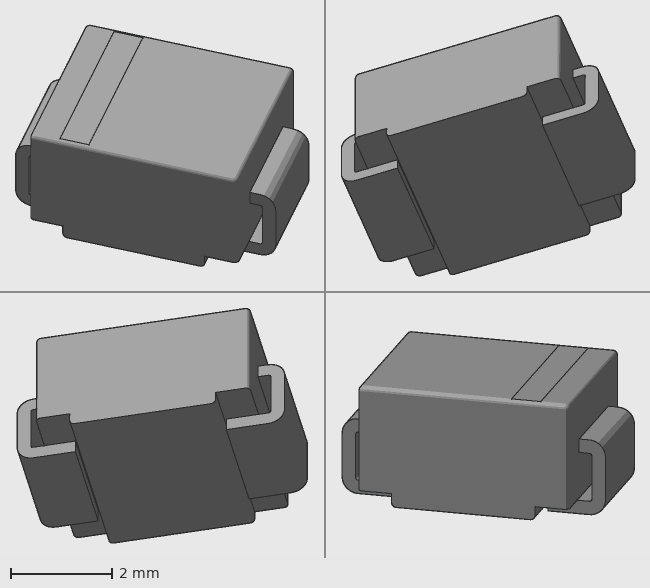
import cadquery as cq


overall_length = 5.41
overall_height = 2.5

housing_length = 4.33
housing_width = 3.62
edge_radius = 0.1
standoff = 0.05

lead_width = 2.1
lead_thickness = 0.28
lead_height = 1.56
lead_inner_radius = 0.05
lead_outer_radius = lead_inner_radius + lead_thickness
foot_length = 1.18
lead_clearance = 0.05

band_length = 0.6
band_offset = 0.6
band_depth = 0.05

lead_outer_x = -overall_length / 2
lead_inner_x = lead_outer_x + lead_thickness
housing_left_x = -housing_length / 2
foot_end_x = lead_outer_x + foot_length
housing_underside = lead_thickness + lead_clearance
plinth_length = -2 * (foot_end_x + lead_clearance)
band_width = housing_width - 2 * edge_radius
band_center_x = housing_left_x + band_offset + band_length / 2


def make_band():
    """Thin rectangular marking, flush with the top of the housing."""
    return (
        cq.Workplane("XY", origin=(band_center_x, 0, overall_height))
        .rect(band_length, band_width)
        .extrude(-band_depth)
    )


def make_housing(band):
    """Rounded block with a full-width plinth below and a recess for the band on top."""
    block = (
        cq.Workplane("XY", origin=(0, 0, housing_underside))
        .rect(housing_length, housing_width)
        .extrude(overall_height - housing_underside)
        .edges("|Z or >Z")
        .fillet(edge_radius)
    )
    plinth = (
        cq.Workplane("XY", origin=(0, 0, standoff))
        .rect(plinth_length, housing_width)
        .extrude(housing_underside - standoff)
        .edges("<Z and |Y")
        .fillet(edge_radius)
    )
    return block.union(plinth).cut(band)


def make_lead_block(left_x, right_x, bottom_z, top_z):
    """Rectangular block as wide as a lead, centred on Y = 0."""
    return (
        cq.Workplane("XY", origin=((left_x + right_x) / 2, 0, bottom_z))
        .rect(right_x - left_x, lead_width)
        .extrude(top_z - bottom_z)
    )


def make_left_lead():
    """C-shaped strip from the housing's end face, down and back under the housing."""
    outside = make_lead_block(lead_outer_x, foot_end_x, 0, lead_height)
    outside = outside.edges("<X and |Y").fillet(lead_outer_radius)
    inside = make_lead_block(lead_inner_x, foot_end_x, lead_thickness, lead_height - lead_thickness)
    inside = inside.edges("<X and |Y").fillet(lead_inner_radius)
    above_foot = make_lead_block(housing_left_x, foot_end_x, lead_thickness, lead_height)
    return outside.cut(inside).cut(above_foot)


band = make_band()
housing = make_housing(band)

leads = []
for turn in (0, 180):
    leads.append(make_left_lead().rotate((0, 0, 0), (0, 0, 1), turn))

result = cq.Compound.makeCompound([housing.val(), band.val(), *[lead.val() for lead in leads]])